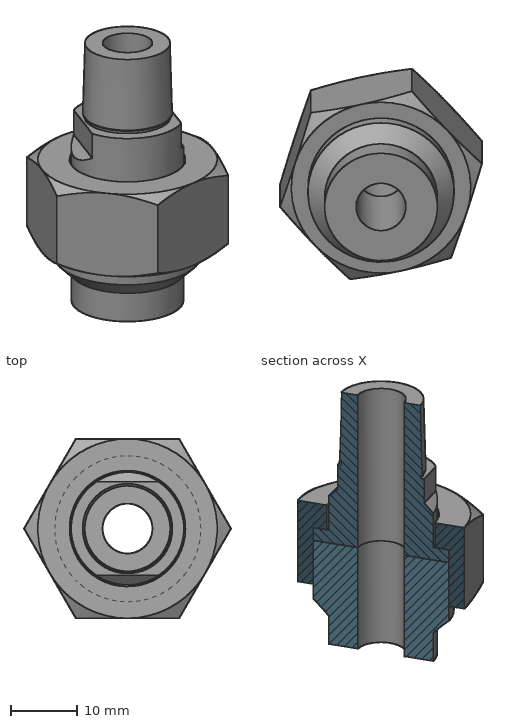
import cadquery as cq
import math

total_height = 42.0
bore_radius = 3.75
pipe_radius = 8.5

neck_top = 4.65
shoulder_top = 7.1
socket_radius = 11.0
joint_height = 16.8

nut_bottom = 9.5
nut_height = 13.5
nut_top = nut_bottom + nut_height
nut_across_flats = 27.0
nut_inner_radius = nut_across_flats / 2
nut_corner_radius = nut_inner_radius / math.cos(math.radians(30))
nut_chamfer_angle = 30
nut_clearance = 0.25

flange_thickness = 2.1
flange_top = joint_height + flange_thickness
collar_top = 29.95
groove_radius = 6.5
taper_bottom = 30.58
taper_bottom_radius = 6.75
taper_top_radius = 6.43
relief_bevel = taper_bottom_radius - groove_radius

flat_offset = 7.0
flat_bottom = 25.95
runout_drop = pipe_radius - flat_offset


def revolve_profile(points):
    """Revolve a closed (radius, height) outline about the Z axis."""
    return cq.Workplane("XZ").polyline(points).close().revolve(360, (0, 0, 0), (0, 1, 0))


def make_socket():
    return revolve_profile([
        (bore_radius, 0),
        (pipe_radius, 0),
        (pipe_radius, neck_top),
        (socket_radius, shoulder_top),
        (socket_radius, joint_height),
        (bore_radius, joint_height),
    ])


def make_flat_cutter():
    """Prism that cuts the flat on the +Y side with its sloping run-out."""
    margin = 0.4
    return (
        cq.Workplane("YZ")
        .moveTo(flat_offset, collar_top)
        .lineTo(flat_offset, flat_bottom)
        .lineTo(pipe_radius + margin, flat_bottom - runout_drop - margin)
        .lineTo(pipe_radius + margin, collar_top)
        .close()
        .extrude(pipe_radius, both=True)
    )


def make_tailpiece():
    body = revolve_profile([
        (bore_radius, joint_height),
        (socket_radius, joint_height),
        (socket_radius, flange_top),
        (pipe_radius, flange_top),
        (pipe_radius, collar_top),
        (groove_radius, collar_top),
        (groove_radius, taper_bottom - relief_bevel),
        (taper_bottom_radius, taper_bottom),
        (taper_top_radius, total_height),
        (bore_radius, total_height),
    ])
    cutter = make_flat_cutter()
    return body.cut(cutter).cut(cutter.mirror("XZ"))


def make_nut():
    """Hexagon with corners on the X axis, both ends chamfered, stepped bore."""
    hexagon = (
        cq.Workplane("XY", origin=(0, 0, nut_bottom))
        .polygon(6, 2 * nut_corner_radius)
        .extrude(nut_height)
    )
    chamfer_drop = (nut_corner_radius - nut_inner_radius) * math.tan(math.radians(nut_chamfer_angle))
    collar_hole_radius = pipe_radius + nut_clearance
    envelope = revolve_profile([
        (socket_radius, nut_bottom),
        (nut_inner_radius, nut_bottom),
        (nut_corner_radius, nut_bottom + chamfer_drop),
        (nut_corner_radius, nut_top - chamfer_drop),
        (nut_inner_radius, nut_top),
        (collar_hole_radius, nut_top),
        (collar_hole_radius, flange_top),
        (socket_radius, flange_top),
    ])
    return hexagon.intersect(envelope)


socket = make_socket()
tailpiece = make_tailpiece()
nut = make_nut()

result = cq.Compound.makeCompound([socket.val(), tailpiece.solids().val(), nut.solids().val()])